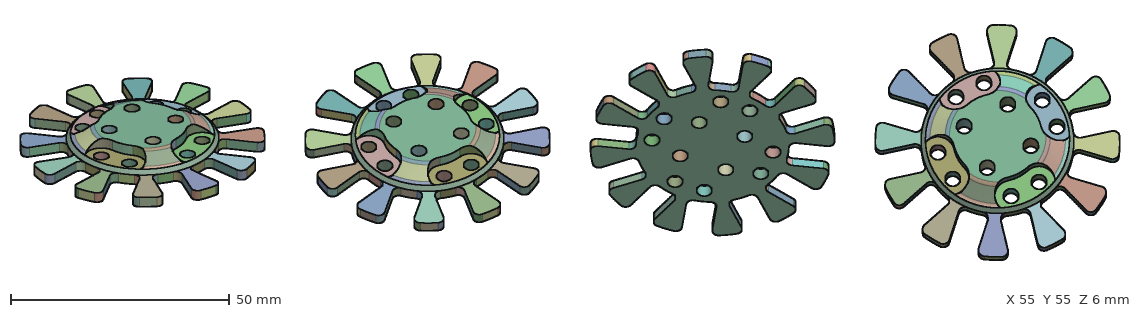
import cadquery as cq
import math

overall_width = 55.05
overall_height = 6.0
plate_thickness = 2.5

tooth_count = 12
slot_width = 7.0
tip_fillet = 1.5
root_fillet = 1.5
tip_radius = tip_fillet + math.hypot(overall_width / 2 - tip_fillet, slot_width / 2 + tip_fillet)

hub_radius = 17.5
rim_chamfer = 1.0
cone_slope = math.radians(30)
cone_blend_radius = 2.0
rim_radius = hub_radius - rim_chamfer
rim_height = plate_thickness + rim_chamfer

hole_diameter = 3.5
inner_hole_circle = 8.0
outer_hole_circle = 14.0
pocket_count = 4
pocket_half_width = 3.75
pocket_half_angle = 15.0


def polar_point(radius, degrees):
    angle = math.radians(degrees)
    return (radius * math.cos(angle), radius * math.sin(angle))


def axis_distance(edge):
    return math.hypot(edge.Center().x, edge.Center().y)


def toothed_plate():
    slot = (
        cq.Workplane("XY")
        .center(tip_radius / 2, 0)
        .rect(tip_radius, slot_width)
        .extrude(plate_thickness)
    )
    teeth = cq.Workplane("XY").circle(tip_radius).extrude(plate_thickness)
    for index in range(tooth_count):
        teeth = teeth.cut(slot.rotate((0, 0, 0), (0, 0, 1), index * 360 / tooth_count))
    plate = teeth.union(cq.Workplane("XY").circle(hub_radius).extrude(plate_thickness))

    middle_radius = (hub_radius + tip_radius) / 2
    tips = plate.edges("|Z").filter(lambda edge: axis_distance(edge) > middle_radius)
    plate = tips.fillet(tip_fillet)
    roots = plate.edges("|Z").filter(lambda edge: axis_distance(edge) < middle_radius)
    return roots.fillet(root_fillet)


def hub():
    blend_run = cone_blend_radius * math.sin(cone_slope)
    blend_rise = cone_blend_radius * (1 - math.cos(cone_slope))
    half_run = cone_blend_radius * math.sin(cone_slope / 2)
    half_rise = cone_blend_radius * (1 - math.cos(cone_slope / 2))

    cone_foot = (rim_radius - blend_run, rim_height + blend_rise)
    cone_head_height = overall_height - blend_rise
    cone_run = (cone_head_height - cone_foot[1]) / math.tan(cone_slope)
    cone_head = (cone_foot[0] - cone_run, cone_head_height)
    top_radius = cone_head[0] - blend_run

    return (
        cq.Workplane("XZ")
        .lineTo(hub_radius, 0)
        .lineTo(hub_radius, plate_thickness)
        .lineTo(rim_radius, rim_height)
        .threePointArc((rim_radius - half_run, rim_height + half_rise), cone_foot)
        .lineTo(*cone_head)
        .threePointArc((top_radius + half_run, overall_height - half_rise), (top_radius, overall_height))
        .lineTo(0, overall_height)
        .close()
        .revolve(360, (0, 0, 0), (0, 1, 0))
    )


def pocket(middle_angle):
    start_angle = middle_angle - pocket_half_angle
    end_angle = middle_angle + pocket_half_angle
    inner_radius = outer_hole_circle - pocket_half_width
    outer_radius = outer_hole_circle + pocket_half_width
    end_reach = math.hypot(outer_hole_circle, pocket_half_width)
    end_swing = math.degrees(math.atan2(pocket_half_width, outer_hole_circle))
    return (
        cq.Workplane("XY")
        .workplane(offset=rim_height)
        .moveTo(*polar_point(outer_radius, start_angle))
        .threePointArc(polar_point(outer_radius, middle_angle), polar_point(outer_radius, end_angle))
        .threePointArc(polar_point(end_reach, end_angle + end_swing), polar_point(inner_radius, end_angle))
        .threePointArc(polar_point(inner_radius, middle_angle), polar_point(inner_radius, start_angle))
        .threePointArc(polar_point(end_reach, start_angle - end_swing), polar_point(outer_radius, start_angle))
        .close()
        .extrude(overall_height - rim_height)
    )


def through_holes():
    centers = []
    for index in range(pocket_count):
        quarter_angle = index * 360 / pocket_count
        pocket_angle = quarter_angle + 180 / pocket_count
        centers.append(polar_point(inner_hole_circle, quarter_angle))
        centers.append(polar_point(outer_hole_circle, pocket_angle - pocket_half_angle))
        centers.append(polar_point(outer_hole_circle, pocket_angle + pocket_half_angle))
    return cq.Workplane("XY").pushPoints(centers).circle(hole_diameter / 2).extrude(overall_height)


result = toothed_plate().union(hub())
for pocket_index in range(pocket_count):
    result = result.cut(pocket((pocket_index + 0.5) * 360 / pocket_count))
result = result.cut(through_holes())